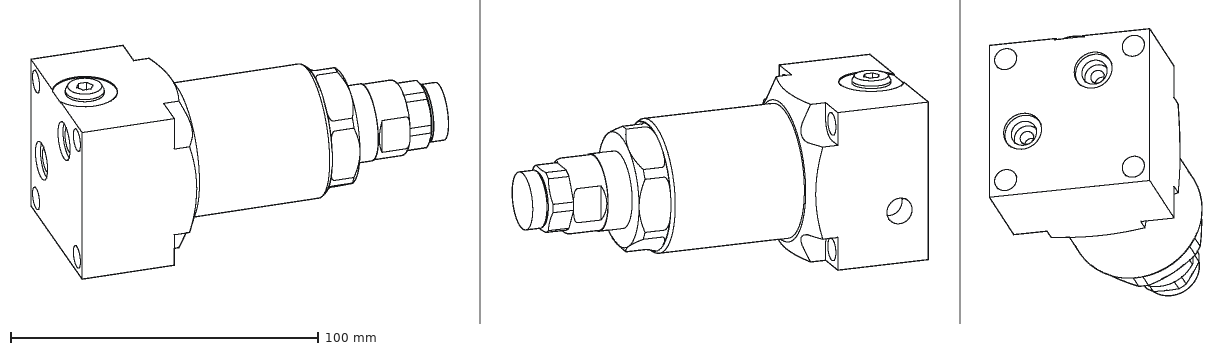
import cadquery as cq
import math

HEX_SIDES = 6
HEX_HALF_ANGLE = 180 / HEX_SIDES

TOTAL_LENGTH = 132.5

BLOCK_SIDE = 54.0
BLOCK_HALF = BLOCK_SIDE / 2
BLOCK_BACK = 41.4
BLOCK_CONE_END_RADIUS = 23.3
BLOCK_CONE_ANGLE = 30.0
MOUNT_HOLE_OFFSET = 21.5
MOUNT_HOLE_DIAMETER = 7.4
NOTCH_FLOOR = 31.5
NOTCH_RADIUS = 5.7

PORT_CENTRES = [(8.0, 14.3), (-15.8, -4.8)]
PORT_RECESS_RADIUS = 6.4
PORT_RECESS_DEPTH = 1.7
PORT_BORE_RADIUS = 4.2
PORT_BORE_DEPTH = 5.6
PORT_DRILL_RADIUS = 2.3
PORT_DRILL_DEPTH = 11.3

SIDE_HOLE_Y = 10.1
SIDE_HOLE_Z = -9.1
SIDE_HOLE_RADIUS = 4.4
SIDE_HOLE_DEPTH = 9.3
DRILL_POINT_ANGLE = 118.0

BARREL_RADIUS = 22.1
BARREL_END = 87.5
BARREL_CHAMFER_LENGTH = 1.2
BARREL_CHAMFER_DEPTH = 0.8

NUT_END = 97.7
NUT_ACROSS_FLATS = 38.0
NUT_RADIUS = 21.1
NUT_RUNOUT = 1.6

COLLAR_RADIUS = 12.7
COLLAR_END = 106.0
NECK_RADIUS = 12.5
NECK_END = 117.5
NECK_ROUNDING = 1.5
NECK_FLAT_HALF = 11.0
NECK_FLAT_START = 107.9

SMALL_HEX_RADIUS = 11.1
SMALL_HEX_ACROSS_FLATS = 20.5
SMALL_HEX_CONE_START = 124.6
SMALL_HEX_END = 125.5

CAP_GROOVE_RADIUS = 9.1
CAP_START = 126.0
CAP_RADIUS = 9.5
CAP_RIM = 131.1

PLUG_Y = 9.7
PLUG_HEAD_RISE = 2.0
PLUG_TOP = BLOCK_HALF + PLUG_HEAD_RISE
PLUG_RADIUS = 6.4
PLUG_TOP_RADIUS = 5.6
PLUG_RIM_HEIGHT = 0.8
PLUG_SHANK_RADIUS = 4.8
PLUG_SHANK_LENGTH = 6.6
SPOTFACE_RADIUS = 10.6
SPOTFACE_DEPTH = 0.4
SPOTFACE_FLOOR = BLOCK_HALF - SPOTFACE_DEPTH
SOCKET_ACROSS_FLATS = 4.8
SOCKET_DEPTH = 4.0


def revolve_about_y(profile):
    """Full turn of a closed (radius, y) outline about the valve axis."""
    return profile.close().revolve(360, (0, 0, 0), (0, 1, 0))


def cylinder_y(radius, start, end):
    """Cylinder on the valve axis between two y positions."""
    return cq.Workplane("XZ", origin=(0, start, 0)).circle(radius).extrude(start - end)


def drill(radius, depth, origin, direction):
    """Blind drill: cylinder of the given depth with a conical point."""
    point_length = radius / math.tan(math.radians(DRILL_POINT_ANGLE / 2))
    shank = cq.Solid.makeCylinder(radius, depth, origin, direction)
    point = cq.Solid.makeCone(radius, 0, point_length, origin + direction * depth, direction)
    return cq.Workplane(shank).union(cq.Workplane(point))


def make_block():
    """Square block with its back corners turned to a cone and notched at the screw seats."""
    block = cq.Workplane("XY").box(BLOCK_SIDE, BLOCK_BACK, BLOCK_SIDE).translate((0, BLOCK_BACK / 2, 0))

    envelope_radius = BLOCK_SIDE
    cone_drop = (envelope_radius - BLOCK_CONE_END_RADIUS) * math.tan(math.radians(BLOCK_CONE_ANGLE))
    cone_start = BLOCK_BACK - cone_drop
    envelope = revolve_about_y(
        cq.Workplane("XY")
        .lineTo(envelope_radius, 0)
        .lineTo(envelope_radius, cone_start)
        .lineTo(BLOCK_CONE_END_RADIUS, BLOCK_BACK)
        .lineTo(0, BLOCK_BACK)
    )
    block = block.intersect(envelope)

    notch_inner = MOUNT_HOLE_OFFSET - NOTCH_RADIUS
    notch_side = BLOCK_HALF - notch_inner
    notch_centre = notch_inner + notch_side / 2
    notch_length = BLOCK_BACK - NOTCH_FLOOR
    inner_face = {1: "<", -1: ">"}
    for x_side in (-1, 1):
        for z_side in (-1, 1):
            notch = (
                cq.Workplane("XY")
                .box(notch_side, notch_length, notch_side)
                .edges(f"|Y and {inner_face[x_side]}X and {inner_face[z_side]}Z")
                .fillet(NOTCH_RADIUS)
                .translate((x_side * notch_centre, NOTCH_FLOOR + notch_length / 2, z_side * notch_centre))
            )
            block = block.cut(notch)
    return block


def make_barrel():
    """Main cylinder with a chamfered far end, rooted inside the block."""
    return revolve_about_y(
        cq.Workplane("XY")
        .moveTo(0, NOTCH_FLOOR)
        .lineTo(BARREL_RADIUS, NOTCH_FLOOR)
        .lineTo(BARREL_RADIUS, BARREL_END - BARREL_CHAMFER_LENGTH)
        .lineTo(BARREL_RADIUS - BARREL_CHAMFER_DEPTH, BARREL_END)
        .lineTo(0, BARREL_END)
    )


def make_nut():
    """Large hexagon milled into a round; each flat runs out in a concave radius at the barrel."""
    apothem = NUT_ACROSS_FLATS / 2
    chamfer = NUT_RADIUS - apothem
    nut = cylinder_y(NUT_RADIUS, BARREL_END, NUT_END).faces(">Y").edges().chamfer(chamfer)
    clearance = 2 * NUT_RADIUS
    flat_cutter = (
        cq.Workplane("XY")
        .moveTo(apothem, clearance + NUT_END)
        .lineTo(apothem, BARREL_END + NUT_RUNOUT)
        .radiusArc((apothem + NUT_RUNOUT, BARREL_END), -NUT_RUNOUT)
        .lineTo(clearance, BARREL_END)
        .lineTo(clearance, clearance + NUT_END)
        .close()
        .extrude(NUT_RADIUS, both=True)
    )
    for index in range(HEX_SIDES):
        nut = nut.cut(flat_cutter.rotate((0, 0, 0), (0, 1, 0), 2 * HEX_HALF_ANGLE * index))
    return nut


def make_neck():
    """Collar and rounded neck with two opposite wrench flats that run out at 45 degrees."""
    collar = cylinder_y(COLLAR_RADIUS, NUT_END, COLLAR_END)
    neck = cylinder_y(NECK_RADIUS, COLLAR_END, NECK_END).faces(">Y").edges().fillet(NECK_ROUNDING)
    runout = COLLAR_RADIUS - NECK_FLAT_HALF
    flat_cutter = (
        cq.Workplane("XY")
        .moveTo(NECK_FLAT_HALF, NECK_END)
        .lineTo(NECK_FLAT_HALF, NECK_FLAT_START)
        .lineTo(COLLAR_RADIUS, NECK_FLAT_START - runout)
        .lineTo(COLLAR_RADIUS, NECK_END)
        .close()
        .extrude(NECK_RADIUS, both=True)
    )
    neck = neck.cut(flat_cutter).cut(flat_cutter.mirror("YZ"))
    return collar.union(neck)


def make_small_hexagon():
    """Small hexagon with corners turned round and a conical far end."""
    turned = revolve_about_y(
        cq.Workplane("XY")
        .moveTo(0, NECK_END)
        .lineTo(SMALL_HEX_RADIUS, NECK_END)
        .lineTo(SMALL_HEX_RADIUS, SMALL_HEX_CONE_START)
        .lineTo(CAP_GROOVE_RADIUS, SMALL_HEX_END)
        .lineTo(0, SMALL_HEX_END)
    )
    across_corners = SMALL_HEX_ACROSS_FLATS / math.cos(math.radians(HEX_HALF_ANGLE))
    hexagon = (
        cq.Workplane("XZ", origin=(0, NECK_END, 0))
        .polygon(HEX_SIDES, across_corners)
        .extrude(NECK_END - SMALL_HEX_END)
    )
    return turned.intersect(hexagon)


def make_cap():
    """End cap with a narrow groove below it and a shallow spherical dome."""
    dome_rise = TOTAL_LENGTH - CAP_RIM
    dome_radius = (CAP_RADIUS**2 + dome_rise**2) / (2 * dome_rise)
    return revolve_about_y(
        cq.Workplane("XY")
        .moveTo(0, SMALL_HEX_END)
        .lineTo(CAP_GROOVE_RADIUS, SMALL_HEX_END)
        .lineTo(CAP_GROOVE_RADIUS, CAP_START)
        .lineTo(CAP_RADIUS, CAP_START)
        .lineTo(CAP_RADIUS, CAP_RIM)
        .radiusArc((0, TOTAL_LENGTH), -dome_radius)
    )


def cut_mount_holes(body):
    """Four screw holes from the front face through to the notches."""
    spacing = 2 * MOUNT_HOLE_OFFSET
    holes = (
        cq.Workplane("XZ")
        .rect(spacing, spacing, forConstruction=True)
        .vertices()
        .circle(MOUNT_HOLE_DIAMETER / 2)
        .extrude(-BLOCK_BACK)
    )
    return body.cut(holes)


def cut_ports(body):
    """Two front ports: seal recess, flat-bottomed bore, and a narrow pointed drill."""
    inward = cq.Vector(0, 1, 0)
    for x, z in PORT_CENTRES:
        mouth = cq.Vector(x, 0, z)
        recess = cq.Solid.makeCylinder(PORT_RECESS_RADIUS, PORT_RECESS_DEPTH, mouth, inward)
        bore = cq.Solid.makeCylinder(PORT_BORE_RADIUS, PORT_BORE_DEPTH, mouth, inward)
        body = body.cut(cq.Workplane(recess)).cut(cq.Workplane(bore))
        body = body.cut(drill(PORT_DRILL_RADIUS, PORT_DRILL_DEPTH, mouth, inward))
    return body


def cut_side_hole(body):
    """Pointed blind hole that breaks into the drill of the lower port."""
    mouth = cq.Vector(-BLOCK_HALF, SIDE_HOLE_Y, SIDE_HOLE_Z)
    return body.cut(drill(SIDE_HOLE_RADIUS, SIDE_HOLE_DEPTH, mouth, cq.Vector(1, 0, 0)))


def cut_plug_seat(body):
    """Spotface in the top face and the hole that takes the plug's shank."""
    floor = cq.Workplane("XY", origin=(0, PLUG_Y, SPOTFACE_FLOOR))
    spotface = floor.circle(SPOTFACE_RADIUS).extrude(SPOTFACE_DEPTH)
    shank_hole = floor.circle(PLUG_SHANK_RADIUS).extrude(-PLUG_SHANK_LENGTH)
    return body.cut(spotface).cut(shank_hole)


def make_valve():
    """Valve housing: block, barrel, hexagons, neck and cap as one solid."""
    valve = make_block()
    for section in (make_barrel(), make_nut(), make_neck(), make_small_hexagon(), make_cap()):
        valve = valve.union(section)
    valve = cut_mount_holes(valve)
    valve = cut_ports(valve)
    valve = cut_side_hole(valve)
    return cut_plug_seat(valve)


def make_plug():
    """Screw plug: tapered head on the spotface, shank in its hole, and a hexagon socket."""
    shank_end = SPOTFACE_FLOOR - PLUG_SHANK_LENGTH
    rim_top = SPOTFACE_FLOOR + PLUG_RIM_HEIGHT
    plug = (
        cq.Workplane("XZ")
        .moveTo(0, shank_end)
        .lineTo(PLUG_SHANK_RADIUS, shank_end)
        .lineTo(PLUG_SHANK_RADIUS, SPOTFACE_FLOOR)
        .lineTo(PLUG_RADIUS, SPOTFACE_FLOOR)
        .lineTo(PLUG_RADIUS, rim_top)
        .lineTo(PLUG_TOP_RADIUS, PLUG_TOP)
        .lineTo(0, PLUG_TOP)
        .close()
        .revolve(360, (0, 0, 0), (0, 1, 0))
    )
    across_corners = SOCKET_ACROSS_FLATS / math.cos(math.radians(HEX_HALF_ANGLE))
    socket = (
        cq.Workplane("XY", origin=(0, 0, PLUG_TOP))
        .polygon(HEX_SIDES, across_corners)
        .extrude(-SOCKET_DEPTH)
        .rotate((0, 0, 0), (0, 0, 1), HEX_HALF_ANGLE)
    )
    return plug.cut(socket).translate((0, PLUG_Y, 0))


valve = make_valve()
plug = make_plug()
result = cq.Compound.makeCompound([valve.val(), plug.val()])